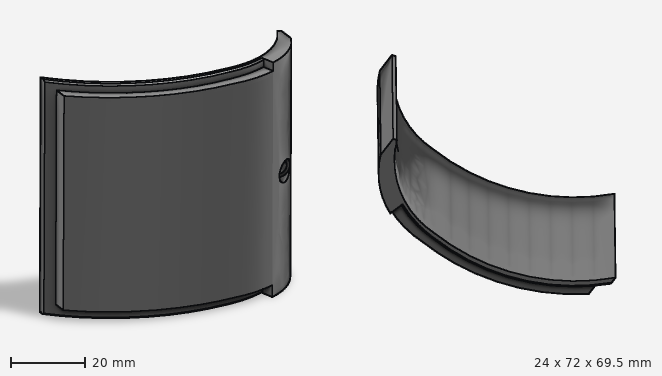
import cadquery as cq

height = 69.5
straight_height = 3.8
lean = 0.5
front_y = -47.15
back_y = 24.85

top_lip = 2.5
bottom_lip = 3.5
lip_chamfer = 0.5

hole_diameter = 4.1
counterbore_diameter = 6.2
counterbore_floor_x = -4.7
hole_y = 18.8
hole_z = height / 2

inner_front = (-18.5, front_y)
inner_front_mid = (-5.3, -28.8)
inner_crown = (0, 0)
inner_back_mid = (-3.95, 14.0)
inner_back = (-15.6, 23.75)

lip_front = (-16.05, front_y)
lip_front_mid = (-3.3, -28.8)
lip_crown = (1.6, 0)
lip_back_mid = (0.9, 5.6)
lip_back = (-1.15, 11.9)

rail_front_y = -44.8
rail_front_inner = (-14.4, rail_front_y)
rail_front = (-9.4, rail_front_y)
rail_front_mid = (0.6, -27.65)
rail_crown = (4.9, 0)
rail_back_mid = (4.25, 7.2)
rail_back = (2.45, 12.9)

end_shoulder_mid = (-2.9, 20.5)
end_shoulder = (-9.7, back_y)
end_tip = (-15.3, back_y)


def leaning_prism(outline):
    """Extrude a plan outline down from the top: upright first, then leaning toward -X."""
    face = cq.Face.makeFromWires(outline.val())
    knee_z = height - straight_height
    upper = cq.Solid.extrudeLinear(face, cq.Vector(0, 0, straight_height))
    lower = cq.Solid.extrudeLinear(face, cq.Vector(-lean, 0, -knee_z))
    return cq.Workplane(upper.fuse(lower).translate(cq.Vector(0, 0, knee_z)))


def chamfer_lip(sheet):
    """Bevel the outer top and bottom edges of the thin lip."""
    def is_lip_edge(edge):
        middle = edge.positionAt(0.5)
        lip_middles = (mid_of_arc(lip_front, lip_front_mid, lip_crown),
                       mid_of_arc(lip_crown, lip_back_mid, lip_back))
        drift = lean if middle.z < hole_z else 0
        return any(abs(middle.x + drift - m.x) + abs(middle.y - m.y) < 0.01 for m in lip_middles)

    edges = [e for e in sheet.faces("<Z or >Z").edges().vals() if is_lip_edge(e)]
    return sheet.newObject(edges).chamfer(lip_chamfer)


def mid_of_arc(start, middle, end):
    points = [cq.Vector(*p) for p in (start, middle, end)]
    return cq.Edge.makeThreePointArc(*points).positionAt(0.5)


sheet_outline = (
    cq.Workplane()
    .moveTo(*inner_front)
    .threePointArc(inner_front_mid, inner_crown)
    .threePointArc(inner_back_mid, inner_back)
    .lineTo(*end_tip)
    .lineTo(*end_shoulder)
    .threePointArc(end_shoulder_mid, rail_back)
    .lineTo(*lip_back)
    .threePointArc(lip_back_mid, lip_crown)
    .threePointArc(lip_front_mid, lip_front)
    .close()
)
sheet = chamfer_lip(leaning_prism(sheet_outline))

rail_outline = (
    cq.Workplane()
    .moveTo(*rail_front_inner)
    .threePointArc(lip_front_mid, lip_crown)
    .threePointArc(lip_back_mid, lip_back)
    .lineTo(*rail_back)
    .threePointArc(rail_back_mid, rail_crown)
    .threePointArc(rail_front_mid, rail_front)
    .close()
)
rail_height = height - top_lip - bottom_lip
band_size = 2 * (back_y - front_y)
rail_band = (
    cq.Workplane()
    .box(band_size, band_size, rail_height, centered=(True, True, False))
    .translate((0, 0, bottom_lip))
)
rail = leaning_prism(rail_outline).intersect(rail_band)

hole = (
    cq.Workplane("YZ")
    .center(hole_y, hole_z)
    .circle(hole_diameter / 2)
    .extrude(band_size, both=True)
)

counterbore = (
    cq.Workplane("YZ", origin=(counterbore_floor_x, 0, 0))
    .center(hole_y, hole_z)
    .circle(counterbore_diameter / 2)
    .extrude(band_size)
)

result = sheet.union(rail).cut(hole).cut(counterbore)